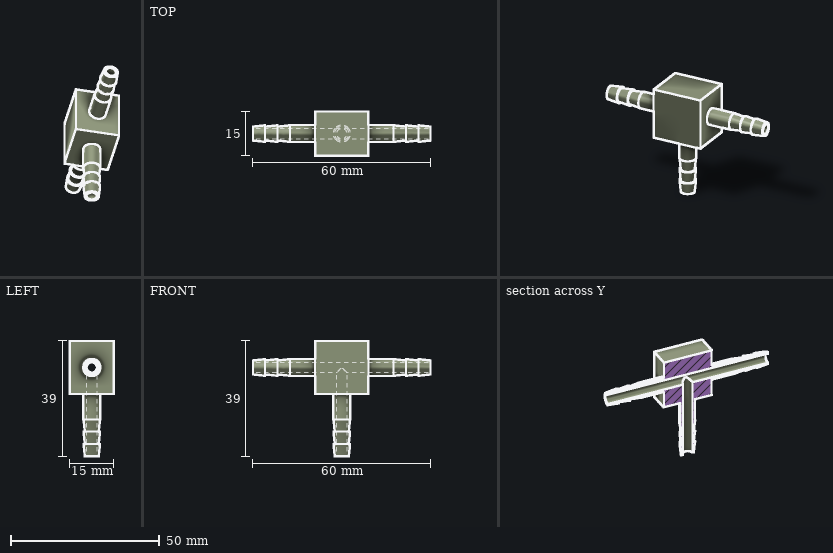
import cadquery as cq

block_width = 18.0
block_depth = 15.0
block_height = 18.0

span = 60.0
shank_diameter = 5.8
barb_diameter = 5.7
tip_diameter = 4.8
bore_diameter = 3.5
barb_count = 3
barbed_length = 12.5

tail_reach = span / 2
barb_length = barbed_length / barb_count
barbs_start = tail_reach - barbed_length

tail_directions = [(-1, 0, 0), (1, 0, 0), (0, 0, -1)]


def make_tail(direction):
    """Shank and barbs running outward from the block centre."""
    origin = cq.Vector(0, 0, 0)
    axis = cq.Vector(*direction)
    tail = cq.Workplane(cq.Solid.makeCylinder(shank_diameter / 2, barbs_start, origin, axis))
    for index in range(barb_count):
        barb_base = axis * (barbs_start + index * barb_length)
        barb = cq.Solid.makeCone(barb_diameter / 2, tip_diameter / 2, barb_length, barb_base, axis)
        tail = tail.union(cq.Workplane(barb))
    return tail


def make_bore(direction):
    """Bore from the block centre out through the tip of one tail."""
    origin = cq.Vector(0, 0, 0)
    axis = cq.Vector(*direction)
    return cq.Workplane(cq.Solid.makeCylinder(bore_diameter / 2, tail_reach, origin, axis))


result = cq.Workplane("XY").box(block_width, block_depth, block_height)
for tail_direction in tail_directions:
    result = result.union(make_tail(tail_direction))
for tail_direction in tail_directions:
    result = result.cut(make_bore(tail_direction))